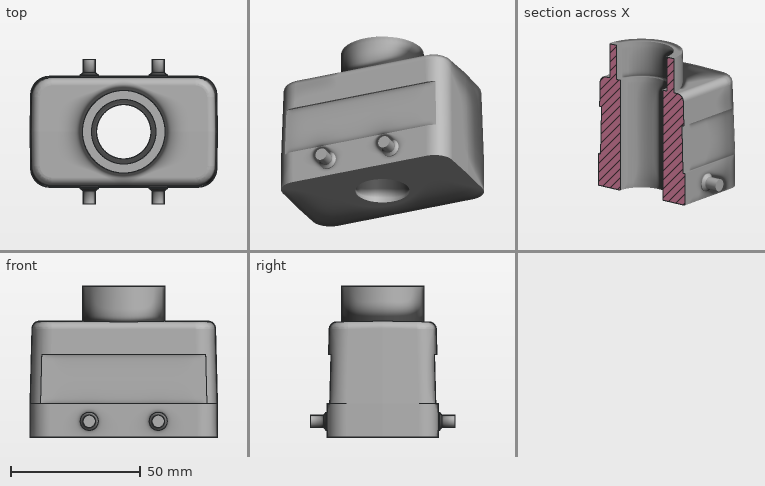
import cadquery as cq
import math

HOOD_LENGTH = 72.6
HOOD_WIDTH = 43.0
SKIRT_HEIGHT = 13.0
HOOD_HEIGHT = 45.0
TOTAL_HEIGHT = 58.5

WALL_DRAFT = 1.5
END_SLOPE = 1.0
ROOF_SLOPE = 1.0
CORNER_RADIUS = 7.5
ROOF_EDGE_RADIUS = 3.0

PANEL_DEPTH = 0.95
PANEL_TOP = 32.0

COLLAR_DIAMETER = 32.0
BORE_DIAMETER = 25.0
BORE_DEPTH = 13.8
PASSAGE_DIAMETER = 21.0

PIN_DIAMETER = 4.8
PIN_SPAN = 56.0
PIN_SPACING = 26.7
PIN_HEIGHT = 6.2
FOOT_DIAMETER = 7.0
FOOT_RIM = 0.45
FOOT_LENGTH = 1.4

HALF_LENGTH = HOOD_LENGTH / 2
HALF_WIDTH = HOOD_WIDTH / 2


def lean(distance, angle):
    """Sideways shift of a face that leans by the angle over the distance."""
    return distance * math.tan(math.radians(angle))


def hood_prism(bottom, top, draft):
    """Prism with end walls slightly pointed at their middles and four rounded corners."""
    corner_x = HALF_LENGTH - lean(HALF_WIDTH, END_SLOPE)
    outline = [
        (HALF_LENGTH, 0),
        (corner_x, HALF_WIDTH),
        (-corner_x, HALF_WIDTH),
        (-HALF_LENGTH, 0),
        (-corner_x, -HALF_WIDTH),
        (corner_x, -HALF_WIDTH),
    ]
    prism = (
        cq.Workplane("XY", origin=(0, 0, bottom))
        .polyline(outline)
        .close()
        .extrude(top - bottom, taper=draft)
    )
    upright_corners = prism.edges("not #Z").edges("<Y or >Y")
    return upright_corners.fillet(CORNER_RADIUS)


def make_walls():
    """Drafted upper walls under a shallow ridged roof with rounded edges."""
    walls = hood_prism(SKIRT_HEIGHT, HOOD_HEIGHT, WALL_DRAFT)
    space_under_half_roof = (
        cq.Workplane("YZ")
        .polyline([
            (0, 0),
            (HOOD_WIDTH, 0),
            (HOOD_WIDTH, HOOD_HEIGHT - lean(HOOD_WIDTH, ROOF_SLOPE)),
            (0, HOOD_HEIGHT),
        ])
        .close()
        .extrude(HOOD_LENGTH, both=True)
    )
    half = walls.intersect(space_under_half_roof)
    roof_edges = half.faces(">Z").edges("not <Y")
    half = roof_edges.fillet(ROOF_EDGE_RADIUS)
    return half.union(half.mirror("XZ"))


def cut_panels(hood):
    """Recess a band of each long wall, parallel to the wall, up from the skirt."""
    panel_bottom_y = HALF_WIDTH - PANEL_DEPTH
    panel_top_y = panel_bottom_y - lean(PANEL_TOP - SKIRT_HEIGHT, WALL_DRAFT)
    cutter = (
        cq.Workplane("YZ")
        .polyline([
            (panel_bottom_y, SKIRT_HEIGHT),
            (HOOD_WIDTH, SKIRT_HEIGHT),
            (HOOD_WIDTH, PANEL_TOP),
            (panel_top_y, PANEL_TOP),
        ])
        .close()
        .extrude(HALF_LENGTH, both=True)
    )
    return hood.cut(cutter).cut(cutter.mirror("XZ"))


def add_cable_entry(hood):
    """Round collar on the roof, with a stepped hole down through the hood."""
    collar = (
        cq.Workplane("XY", origin=(0, 0, SKIRT_HEIGHT))
        .circle(COLLAR_DIAMETER / 2)
        .extrude(TOTAL_HEIGHT - SKIRT_HEIGHT)
    )
    return (
        hood.union(collar)
        .faces(">Z")
        .workplane(origin=(0, 0, TOTAL_HEIGHT))
        .cboreHole(PASSAGE_DIAMETER, BORE_DIAMETER, BORE_DEPTH)
    )


def make_pin():
    """Pin pointing along +Y with a conical foot, turned about its own axis at X = 0."""
    root_y = HALF_WIDTH - PANEL_DEPTH
    rim_y = HALF_WIDTH + FOOT_RIM
    cone_y = HALF_WIDTH + FOOT_LENGTH
    tip_y = PIN_SPAN / 2
    return (
        cq.Workplane("XY")
        .polyline([
            (0, root_y),
            (FOOT_DIAMETER / 2, root_y),
            (FOOT_DIAMETER / 2, rim_y),
            (PIN_DIAMETER / 2, cone_y),
            (PIN_DIAMETER / 2, tip_y),
            (0, tip_y),
        ])
        .close()
        .revolve(360, (0, 0), (0, 1))
    )


def add_pins(hood):
    pin = make_pin()
    for x in (-PIN_SPACING / 2, PIN_SPACING / 2):
        placed_pin = pin.translate((x, 0, PIN_HEIGHT))
        hood = hood.union(placed_pin).union(placed_pin.mirror("XZ"))
    return hood


skirt = hood_prism(0, SKIRT_HEIGHT, 0)
hood = skirt.union(cut_panels(make_walls()))
result = add_pins(add_cable_entry(hood))